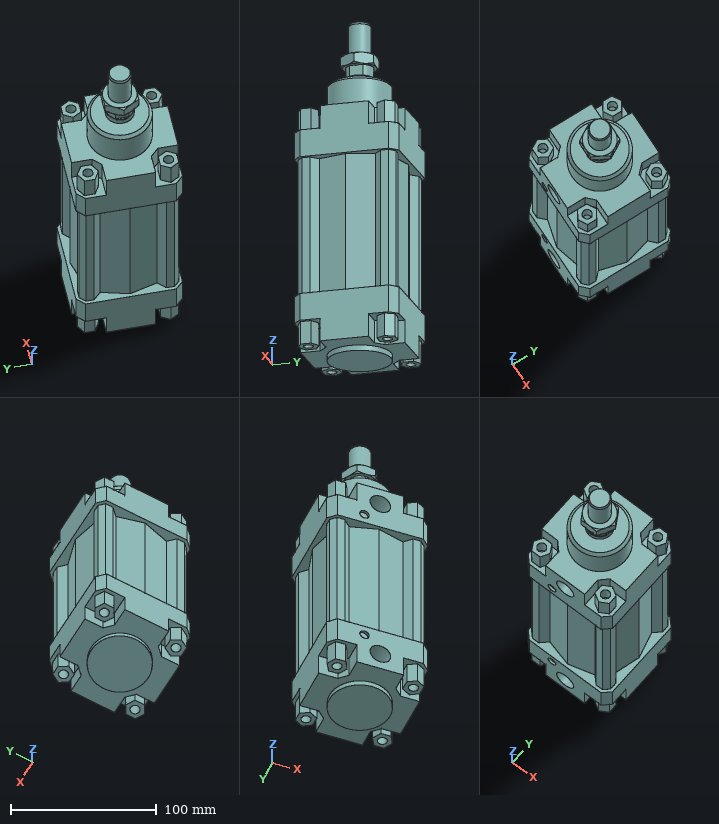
import cadquery as cq
import math

TOTAL_HEIGHT = 244.0

CAP_WIDTH = 75.0
CAP_CORNER = 5.5
CAP_HEIGHT = 35.9
NOTCH_DEPTH = 16.3
NOTCH_WALL = 17.3
NOTCH_CORNER = 5.9

BOSS_DIA = 45.0
REAR_BOSS_HEIGHT = 4.0
FRONT_BOSS_HEIGHT = 25.1
BOSS_CHAMFER = 2.2

TIE_SPACING = 56.5
TIE_NUT_FLATS = 13.0
TIE_HOLE_DIA = 6.8
TIE_HOLE_DEPTH = 12.2
DRILL_TIP_ANGLE = 118.0

BARREL_LENGTH = 99.3
BARREL_WIDTH = 70.0
BARREL_CORNER = 4.0
POST_INNER = 25.4
POST_WALL = 5.4

PORT_DIA = 15.1
PORT_DEPTH = 14.6
PORT_OFFSET = 22.0
SCREW_DIA = 6.8
SCREW_DEPTH = 2.0
SCREW_X = -11.7
SCREW_OFFSET = 7.8

ROD_DIA = 20.0
ROD_EXPOSED = 3.7
SHANK_DIA = 19.5
SHANK_TAPER = 0.7
FLATS_WIDTH = 17.0
THREAD_DIA = 15.9
THREAD_CHAMFER_LENGTH = 1.7
THREAD_CHAMFER_INSET = 0.7
ROD_SEAT_DEPTH = 24.5

NUT_FLATS = 24.0
NUT_HEIGHT = 8.0
NUT_BOTTOM = 212.3
NUT_CHAMFER_ANGLE = 30.0

TIE_CORNER = (-TIE_SPACING / 2, -TIE_SPACING / 2, 0)

BARREL_BOTTOM = REAR_BOSS_HEIGHT + CAP_HEIGHT
BARREL_TOP = BARREL_BOTTOM + BARREL_LENGTH
FRONT_CAP_TOP = BARREL_TOP + CAP_HEIGHT
BOSS_TOP = FRONT_CAP_TOP + FRONT_BOSS_HEIGHT
TAPER_BOTTOM = BOSS_TOP + ROD_EXPOSED
SHANK_BOTTOM = TAPER_BOTTOM + SHANK_TAPER
ROD_BOTTOM = BOSS_TOP - ROD_SEAT_DEPTH


def revolved(profile):
    """Solid of revolution about the Z axis from (radius, z) points."""
    return cq.Workplane("XZ").polyline(profile).close().revolve(360, (0, 0, 0), (0, 1, 0))


def cylinder(diameter, bottom, height):
    return cq.Workplane("XY").workplane(offset=bottom).circle(diameter / 2).extrude(height)


def hexagon(flats, bottom, height):
    """Hexagonal prism on the Z axis with two corners on the X axis."""
    corners = flats / math.cos(math.pi / 6)
    return cq.Workplane("XY").workplane(offset=bottom).polygon(6, corners).extrude(height)


def turned(solid, index):
    """Copy of a solid, turned about the Z axis by a number of quarter turns."""
    return solid.rotate((0, 0, 0), (0, 0, 1), 90 * index)


def corner_notch(bottom):
    """Cutter for the notch at the (-X, -Y) corner of a cap."""
    outside = CAP_WIDTH - NOTCH_WALL
    middle = -NOTCH_WALL - outside / 2
    return (
        cq.Workplane("XY").workplane(offset=bottom).center(middle, middle)
        .rect(outside, outside).extrude(NOTCH_DEPTH)
        .edges("|Z and >X and >Y").chamfer(NOTCH_CORNER)
    )


def tie_nut(bottom):
    """Hexagonal tie-rod nut at the (-X, -Y) corner."""
    return hexagon(TIE_NUT_FLATS, bottom, NOTCH_DEPTH).translate(TIE_CORNER)


def tie_hole(mouth, inward):
    """Cutter for the drilled blind hole in a tie-rod nut.

    mouth is the level of the hole's open end; inward is the Z direction of drilling, +1 or -1.
    """
    radius = TIE_HOLE_DIA / 2
    tip = radius / math.tan(math.radians(DRILL_TIP_ANGLE / 2))
    wall_end = mouth + inward * TIE_HOLE_DEPTH
    drill = revolved([(0, mouth), (radius, mouth), (radius, wall_end), (0, wall_end + inward * tip)])
    return drill.translate(TIE_CORNER)


def side_hole(x, z, diameter, depth):
    """Cutter for a blind hole in the -Y face of a cap."""
    return (
        cq.Workplane("XZ", origin=(x, -CAP_WIDTH / 2, z))
        .circle(diameter / 2).extrude(-depth)
    )


def make_cap(barrel_end, outward):
    """End cap with four notched corners, tie-rod nuts, a port and a screw recess.

    barrel_end is the level where the cap meets the barrel; outward is the Z direction
    in which the outer face of the cap points, +1 or -1.
    """
    outer_end = barrel_end + outward * CAP_HEIGHT
    bottom = min(barrel_end, outer_end)
    notch_bottom = min(outer_end, outer_end - outward * NOTCH_DEPTH)
    cap = (
        cq.Workplane("XY").workplane(offset=bottom)
        .rect(CAP_WIDTH, CAP_WIDTH).extrude(CAP_HEIGHT)
        .edges("|Z").chamfer(CAP_CORNER)
    )
    for index in range(4):
        cap = cap.cut(turned(corner_notch(notch_bottom), index))
        cap = cap.union(turned(tie_nut(notch_bottom), index))
        cap = cap.cut(turned(tie_hole(outer_end, -outward), index))
    cap = cap.cut(side_hole(0, barrel_end + outward * PORT_OFFSET, PORT_DIA, PORT_DEPTH))
    return cap.cut(side_hole(SCREW_X, barrel_end + outward * SCREW_OFFSET, SCREW_DIA, SCREW_DEPTH))


def make_barrel():
    """Profiled tube body: four corner posts with a shallow ridged face between each pair."""
    half = BARREL_WIDTH / 2
    groove_x = POST_INNER - POST_WALL
    groove_y = half - POST_WALL
    side = [
        (-half + BARREL_CORNER, -half),
        (-POST_INNER, -half),
        (-groove_x, -groove_y),
        (0, -half),
        (groove_x, -groove_y),
        (POST_INNER, -half),
        (half - BARREL_CORNER, -half),
    ]
    outline = []
    for _ in range(4):
        outline += side
        side = [(-y, x) for x, y in side]
    return cq.Workplane("XY").workplane(offset=BARREL_BOTTOM).polyline(outline).close().extrude(BARREL_LENGTH)


def make_housing():
    rear_cap = make_cap(BARREL_BOTTOM, -1)
    front_cap = make_cap(BARREL_TOP, 1)
    rear_boss = cylinder(BOSS_DIA, 0, REAR_BOSS_HEIGHT)
    front_boss = cylinder(BOSS_DIA, FRONT_CAP_TOP, FRONT_BOSS_HEIGHT).faces(">Z").chamfer(BOSS_CHAMFER)
    rod_bore = cylinder(ROD_DIA, ROD_BOTTOM, ROD_SEAT_DEPTH)
    return make_barrel().union(rear_cap).union(front_cap).union(rear_boss).union(front_boss).cut(rod_bore)


def make_rod():
    """Piston rod: round base, shank with two wrench flats and a threaded end."""
    rod_radius = ROD_DIA / 2
    shank_radius = SHANK_DIA / 2
    thread_radius = THREAD_DIA / 2
    bar = revolved([
        (0, ROD_BOTTOM),
        (rod_radius, ROD_BOTTOM),
        (rod_radius, TAPER_BOTTOM),
        (shank_radius, SHANK_BOTTOM),
        (shank_radius, NUT_BOTTOM),
        (thread_radius, NUT_BOTTOM),
        (thread_radius, TOTAL_HEIGHT - THREAD_CHAMFER_LENGTH),
        (thread_radius - THREAD_CHAMFER_INSET, TOTAL_HEIGHT),
        (0, TOTAL_HEIGHT),
    ])
    shank_height = NUT_BOTTOM - SHANK_BOTTOM
    kept = (
        cq.Workplane("XY").workplane(offset=SHANK_BOTTOM)
        .rect(FLATS_WIDTH, ROD_DIA).extrude(shank_height)
    )
    return bar.cut(cylinder(ROD_DIA, SHANK_BOTTOM, shank_height).cut(kept))


def make_nut():
    """Hexagonal lock nut with both ends turned to a cone."""
    inner = NUT_FLATS / 2
    outer = inner / math.cos(math.pi / 6)
    rise = (outer - inner) * math.tan(math.radians(NUT_CHAMFER_ANGLE))
    top = NUT_BOTTOM + NUT_HEIGHT
    turning = revolved([
        (0, NUT_BOTTOM),
        (inner, NUT_BOTTOM),
        (outer, NUT_BOTTOM + rise),
        (outer, top - rise),
        (inner, top),
        (0, top),
    ])
    blank = hexagon(NUT_FLATS, NUT_BOTTOM, NUT_HEIGHT).intersect(turning)
    return blank.cut(cylinder(THREAD_DIA, NUT_BOTTOM, NUT_HEIGHT))


housing = make_housing()
rod = make_rod()
nut = make_nut()

result = cq.Compound.makeCompound([housing.val(), rod.val(), nut.val()])